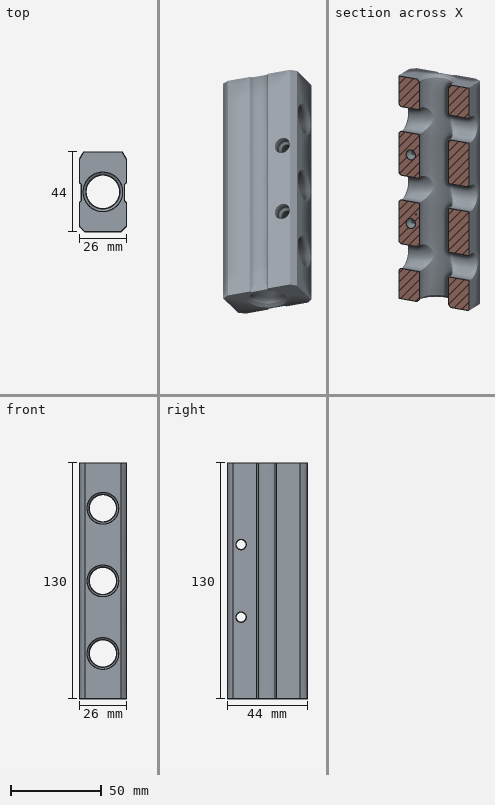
import cadquery as cq

WIDTH = 26.0
DEPTH = 44.0
HEIGHT = 130.0

FRONT_CHAMFER = 3.0
BACK_CHAMFER_X = 2.3
BACK_CHAMFER_Y = 4.0

GROOVE_DEPTH = 1.0
GROOVE_FLOOR_WIDTH = 9.0
GROOVE_CENTER_Y = -0.4

MAIN_BORE_DIAMETER = 18.5
MAIN_SINK_DIAMETER = 21.8

PORT_COUNT = 3
PORT_PITCH = 40.0
PORT_DIAMETER = 15.0
PORT_SINK_DIAMETER = 17.5

MOUNT_COUNT = PORT_COUNT - 1
MOUNT_Y = -14.5
MOUNT_DIAMETER = 5.5
MOUNT_HEAD_DIAMETER = 9.0
MOUNT_HEAD_DEPTH = 5.0


def row_heights(count):
    """Z positions of a row spaced at the port pitch and centred on the block."""
    return [(i - (count - 1) / 2) * PORT_PITCH for i in range(count)]


def make_block():
    """Extruded profile with chamfered corners and a groove on each side."""
    x_side = WIDTH / 2
    y_end = DEPTH / 2
    x_floor = x_side - GROOVE_DEPTH
    half_floor = GROOVE_FLOOR_WIDTH / 2
    half_mouth = half_floor + GROOVE_DEPTH
    right_side = [
        (x_side - FRONT_CHAMFER, -y_end),
        (x_side, -y_end + FRONT_CHAMFER),
        (x_side, GROOVE_CENTER_Y - half_mouth),
        (x_floor, GROOVE_CENTER_Y - half_floor),
        (x_floor, GROOVE_CENTER_Y + half_floor),
        (x_side, GROOVE_CENTER_Y + half_mouth),
        (x_side, y_end - BACK_CHAMFER_Y),
        (x_side - BACK_CHAMFER_X, y_end),
    ]
    left_side = [(-x, y) for x, y in reversed(right_side)]
    profile = cq.Workplane("XY").polyline(right_side + left_side).close()
    return profile.extrude(HEIGHT / 2, both=True)


def make_bore(start, direction, length, diameter):
    """Straight cylindrical cutter."""
    return cq.Solid.makeCylinder(diameter / 2, length, cq.Vector(*start), cq.Vector(*direction))


def make_countersink(start, direction, mouth_diameter, bore_diameter):
    """Conical cutter with 45 degree flanks, narrowing from its mouth to the bore."""
    sink_depth = (mouth_diameter - bore_diameter) / 2
    return cq.Solid.makeCone(
        mouth_diameter / 2, bore_diameter / 2, sink_depth, cq.Vector(*start), cq.Vector(*direction)
    )


def cut_main_bore(body):
    """Through bore along Z with a countersink at each end."""
    body = body.cut(make_bore((0, 0, -HEIGHT / 2), (0, 0, 1), HEIGHT, MAIN_BORE_DIAMETER))
    for end in (-1, 1):
        mouth = (0, 0, end * HEIGHT / 2)
        body = body.cut(make_countersink(mouth, (0, 0, -end), MAIN_SINK_DIAMETER, MAIN_BORE_DIAMETER))
    return body


def cut_ports(body):
    """Row of through ports along Y, countersunk where they enter the front face."""
    for z in row_heights(PORT_COUNT):
        mouth = (0, -DEPTH / 2, z)
        body = body.cut(make_bore(mouth, (0, 1, 0), DEPTH, PORT_DIAMETER))
        body = body.cut(make_countersink(mouth, (0, 1, 0), PORT_SINK_DIAMETER, PORT_DIAMETER))
    return body


def cut_mounting_holes(body):
    """Counterbored through holes along X, entered from the -X side."""
    for z in row_heights(MOUNT_COUNT):
        mouth = (-WIDTH / 2, MOUNT_Y, z)
        body = body.cut(make_bore(mouth, (1, 0, 0), WIDTH, MOUNT_DIAMETER))
        body = body.cut(make_bore(mouth, (1, 0, 0), MOUNT_HEAD_DEPTH, MOUNT_HEAD_DIAMETER))
    return body


result = cut_mounting_holes(cut_ports(cut_main_bore(make_block())))